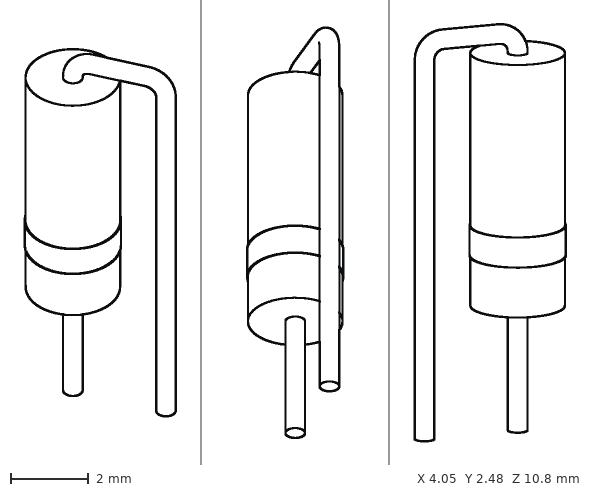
import cadquery as cq

total_height = 10.84
lead_diameter = 0.51
lead_pitch = 2.55
bend_radius = 0.51
body_diameter = 2.44
body_bottom = 3.32
body_top = 10.04
band_diameter = 2.48
band_bottom = 4.65
band_top = 5.45

bridge_height = total_height - lead_diameter / 2


def vertical_cylinder(diameter, bottom, top):
    """Cylinder on the body axis between two heights."""
    return cq.Workplane("XY").workplane(offset=bottom).circle(diameter / 2).extrude(top - bottom)


def bent_lead():
    """Wire that runs along the body axis, bends over and returns down beside the body."""
    bend_start = bridge_height - bend_radius
    path = (
        cq.Workplane("XZ")
        .lineTo(0, bend_start)
        .tangentArcPoint((bend_radius, bridge_height), relative=False)
        .lineTo(lead_pitch - bend_radius, bridge_height)
        .tangentArcPoint((lead_pitch, bend_start), relative=False)
        .lineTo(lead_pitch, 0)
    )
    return cq.Workplane("XY").circle(lead_diameter / 2).sweep(path)


body = vertical_cylinder(body_diameter, body_bottom, body_top)
polarity_band = vertical_cylinder(band_diameter, band_bottom, band_top)
result = body.union(polarity_band).union(bent_lead())